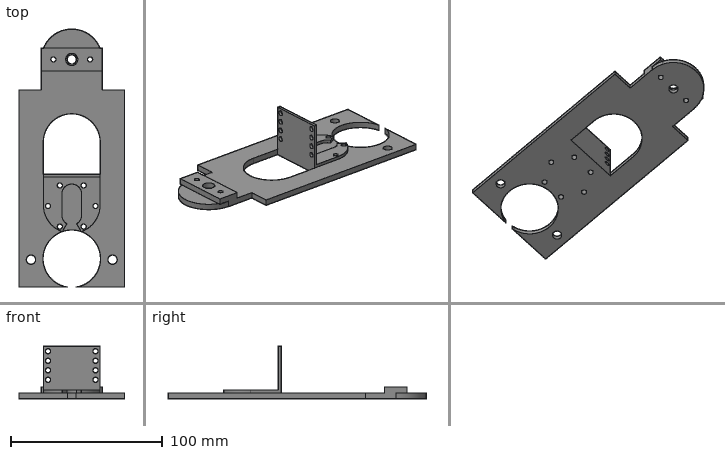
import cadquery as cq
import math

total_length = 170.0
total_height = 34.8
plate_width = 69.5
plate_length = 129.9
raised_height = 8.0
plate_thickness = raised_height / 2

tab_width = 40.5
tab_end_radius = 20.0
tab_center_y = total_length - tab_end_radius

block_depth = 15.0
block_height = raised_height - plate_thickness
block_hole_diameter = 3.2
block_hole_offset = 12.0
tab_bore_diameter = 6.0
block_bore_diameter = 8.0

ring_radius = 18.9
split_width = 5.8
ring_center_y = math.sqrt(ring_radius**2 - (split_width / 2) ** 2)
side_hole_diameter = 6.0
side_hole_offset = 26.9
side_hole_y = 18.0
window_end_y = 114.0

bracket_width = 37.4
bracket_radius = bracket_width / 2
bracket_thickness = 2.0
bracket_back_y = 74.5
bracket_center_y = 54.0
bolt_circle_y = 53.4
bracket_hole_diameter = 3.2
bolt_circle_radius = 15.6
bolt_count = 6

slot_radius = 6.5
slot_back_y = 61.4
slot_front_y = 47.3
wedge_half_angle = math.radians(30)

wall_hole_diameter = 3.2
wall_hole_rows = 4
wall_hole_pitch = 6.3
wall_hole_margin = 3.4


def box(width, y_start, y_end, z_start, height):
    """Box centred on X."""
    depth = y_end - y_start
    return (
        cq.Workplane("XY", origin=(0, y_start, z_start))
        .box(width, depth, height, centered=(True, False, False))
    )


def cylinders(points, diameter, z_start, height):
    """Vertical cylinders standing at the given XY points."""
    return (
        cq.Workplane("XY", origin=(0, 0, z_start))
        .pushPoints(points)
        .circle(diameter / 2)
        .extrude(height)
    )


def make_base():
    base = box(plate_width, 0, plate_length, 0, plate_thickness)
    base = base.union(box(tab_width, plate_length, tab_center_y, 0, plate_thickness))
    base = base.union(cylinders([(0, tab_center_y)], 2 * tab_end_radius, 0, plate_thickness))

    window_center_y = window_end_y - bracket_radius
    window = box(bracket_width, bracket_back_y, window_center_y, 0, plate_thickness)
    window = window.union(cylinders([(0, window_center_y)], bracket_width, 0, plate_thickness))

    side_points = [(side * side_hole_offset, side_hole_y) for side in (-1, 1)]
    side_holes = cylinders(side_points, side_hole_diameter, 0, plate_thickness)
    return base.cut(window).cut(side_holes)


def make_block():
    block_start_y = tab_center_y - block_depth / 2
    block_end_y = tab_center_y + block_depth / 2
    return box(tab_width, block_start_y, block_end_y, plate_thickness, block_height)


def make_keyhole():
    slot = box(2 * slot_radius, slot_front_y, slot_back_y, plate_thickness, bracket_thickness)
    end_points = [(0, slot_front_y), (0, slot_back_y)]
    slot = slot.union(cylinders(end_points, 2 * slot_radius, plate_thickness, bracket_thickness))

    wedge_length = slot_front_y - ring_center_y
    wedge_half_width = wedge_length * math.tan(wedge_half_angle)
    wedge = (
        cq.Workplane("XY", origin=(0, 0, plate_thickness))
        .moveTo(0, slot_front_y)
        .lineTo(wedge_half_width, ring_center_y)
        .lineTo(-wedge_half_width, ring_center_y)
        .close()
        .extrude(bracket_thickness)
    )
    return slot.union(wedge)


def make_bracket():
    foot = box(bracket_width, bracket_center_y, bracket_back_y, plate_thickness, bracket_thickness)
    foot = foot.union(
        cylinders([(0, bracket_center_y)], bracket_width, plate_thickness, bracket_thickness)
    )
    wall_height = total_height - plate_thickness
    wall_front_y = bracket_back_y - bracket_thickness
    wall = box(bracket_width, wall_front_y, bracket_back_y, plate_thickness, wall_height)

    top_hole_z = total_height - wall_hole_margin
    wall_points = [
        (side * bolt_circle_radius, top_hole_z - row * wall_hole_pitch)
        for side in (-1, 1)
        for row in range(wall_hole_rows)
    ]
    wall_holes = (
        cq.Workplane("XZ", origin=(0, bracket_back_y, 0))
        .pushPoints(wall_points)
        .circle(wall_hole_diameter / 2)
        .extrude(bracket_thickness)
    )
    return foot.cut(make_keyhole()).union(wall.cut(wall_holes))


def make_bolt_holes():
    """Bolt circle through the bracket foot and the base plate."""
    angles = [2 * math.pi * index / bolt_count for index in range(bolt_count)]
    points = [
        (bolt_circle_radius * math.cos(angle), bolt_circle_y + bolt_circle_radius * math.sin(angle))
        for angle in angles
    ]
    return cylinders(points, bracket_hole_diameter, 0, plate_thickness + bracket_thickness)


def make_block_holes():
    """Outer through holes and the stepped bore, wider in the block."""
    points = [(side * block_hole_offset, tab_center_y) for side in (-1, 1)]
    center = [(0, tab_center_y)]
    holes = cylinders(points, block_hole_diameter, 0, total_height)
    holes = holes.union(cylinders(center, tab_bore_diameter, 0, total_height))
    return holes.union(cylinders(center, block_bore_diameter, plate_thickness, block_height))


ring_opening = cylinders([(0, ring_center_y)], 2 * ring_radius, 0, total_height)

result = (
    make_base()
    .union(make_block())
    .union(make_bracket())
    .cut(ring_opening)
    .cut(make_bolt_holes())
    .cut(make_block_holes())
)